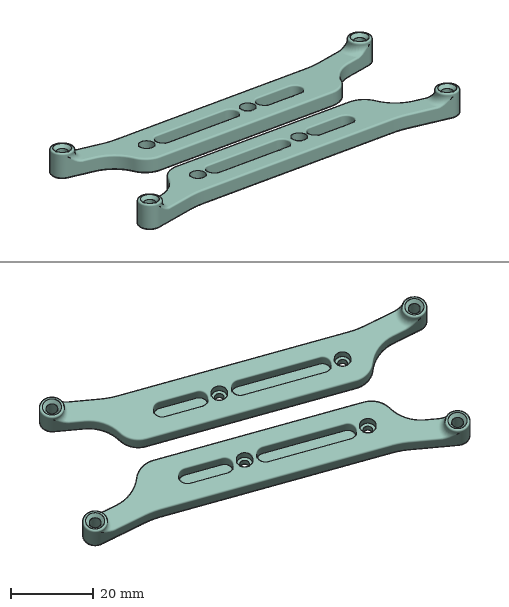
import cadquery as cq
import math

TOTAL_LENGTH = 98.5
TOTAL_WIDTH = 40.1
BOSS_HEIGHT = 7.0
PLATE_THICKNESS = 4.0
BOTTOM_CHAMFER = 0.4
TOP_FILLET = 0.5

BOSS_RADIUS = 6.1 / 2
BOSS_HOLE_DIAMETER = 2.9
BOSS_COUNTERSINK_DIAMETER = 4.6
BOSS_COUNTERSINK_DEPTH = 0.9
BOSS_ROOT_FILLET = 2.0
BOSS_X = TOTAL_WIDTH / 2 - BOSS_RADIUS
BOSS_Y = TOTAL_LENGTH / 2 - BOSS_RADIUS

INNER_X = 3.1
OUTER_X = 17.0
ARM_ANGLE = math.radians(11.9)
OUTER_BEND_RADIUS = 20.0
INNER_FLARE_RADIUS = 10.0
SHOULDER_RADIUS = 6.0
SHOULDER_Y = 26.8

FEATURE_X = 9.9
SCREW_HOLE_YS = (-25.6, 5.8)
SCREW_HOLE_DIAMETER = 2.4
SCREW_HEAD_DIAMETER = 4.0
SCREW_HEAD_DEPTH = 2.2
SLOT_WIDTH = 4.2
SLOT_DEPTH = 3.1
SLOT_FILLET = 0.4
SLOT_END_CENTRES = ((-20.5, 0.5), (10.9, 20.4))


def point_on_circle(centre, radius, angle):
    """Point of a circle at an angle in radians from +X."""
    return (centre[0] + radius * math.cos(angle), centre[1] + radius * math.sin(angle))


def mirrored(point):
    """Point reflected across the XZ plane."""
    return (point[0], -point[1])


def bracket_outline():
    """Closed outline of one bracket on the +X side, symmetric across the XZ plane."""
    boss = (BOSS_X, BOSS_Y)
    boss_outer = point_on_circle(boss, BOSS_RADIUS, -ARM_ANGLE)
    boss_inner = point_on_circle(boss, BOSS_RADIUS, math.pi - ARM_ANGLE)
    boss_tip = (BOSS_X, TOTAL_LENGTH / 2)

    corner_y = boss_outer[1] - (boss_outer[0] - OUTER_X) / math.tan(ARM_ANGLE)
    bend_start_y = corner_y - OUTER_BEND_RADIUS * math.tan(ARM_ANGLE / 2)
    bend_centre = (OUTER_X + OUTER_BEND_RADIUS, bend_start_y)
    bend_start = (OUTER_X, bend_start_y)
    bend_middle = point_on_circle(bend_centre, OUTER_BEND_RADIUS, math.pi - ARM_ANGLE / 2)
    bend_end = point_on_circle(bend_centre, OUTER_BEND_RADIUS, math.pi - ARM_ANGLE)

    shoulder = (INNER_X + SHOULDER_RADIUS, SHOULDER_Y)
    across = (-math.cos(ARM_ANGLE), math.sin(ARM_ANGLE))
    along = (-math.sin(ARM_ANGLE), -math.cos(ARM_ANGLE))
    offset = (shoulder[0] - BOSS_X, shoulder[1] - BOSS_Y)
    shoulder_across = offset[0] * across[0] + offset[1] * across[1]
    shoulder_along = offset[0] * along[0] + offset[1] * along[1]
    flare_across = BOSS_RADIUS + INNER_FLARE_RADIUS
    centre_distance = INNER_FLARE_RADIUS + SHOULDER_RADIUS
    flare_along = shoulder_along - math.sqrt(centre_distance**2 - (flare_across - shoulder_across) ** 2)
    flare = (
        BOSS_X + flare_across * across[0] + flare_along * along[0],
        BOSS_Y + flare_across * across[1] + flare_along * along[1],
    )
    meeting_angle = math.atan2(flare[1] - shoulder[1], flare[0] - shoulder[0])
    flare_end_angle = meeting_angle - math.pi
    flare_start = point_on_circle(flare, INNER_FLARE_RADIUS, -ARM_ANGLE)
    flare_middle = point_on_circle(flare, INNER_FLARE_RADIUS, (flare_end_angle - ARM_ANGLE) / 2)
    flare_end = point_on_circle(flare, INNER_FLARE_RADIUS, flare_end_angle)
    shoulder_middle = point_on_circle(shoulder, SHOULDER_RADIUS, (meeting_angle + math.pi) / 2)
    shoulder_end = (INNER_X, SHOULDER_Y)

    return (
        cq.Workplane("XY")
        .moveTo(*mirrored(bend_start))
        .lineTo(*bend_start)
        .threePointArc(bend_middle, bend_end)
        .lineTo(*boss_outer)
        .threePointArc(boss_tip, boss_inner)
        .lineTo(*flare_start)
        .threePointArc(flare_middle, flare_end)
        .threePointArc(shoulder_middle, shoulder_end)
        .lineTo(*mirrored(shoulder_end))
        .threePointArc(mirrored(shoulder_middle), mirrored(flare_end))
        .threePointArc(mirrored(flare_middle), mirrored(flare_start))
        .lineTo(*mirrored(boss_inner))
        .threePointArc(mirrored(boss_tip), mirrored(boss_outer))
        .lineTo(*mirrored(bend_end))
        .threePointArc(mirrored(bend_middle), mirrored(bend_start))
        .close()
    )


def boss_with_root(y):
    """Revolved boss whose concave root fillet flows onto the plate."""
    root_radius = BOSS_RADIUS + BOSS_ROOT_FILLET
    root_top = PLATE_THICKNESS + BOSS_ROOT_FILLET
    fillet_reach = BOSS_ROOT_FILLET * (1 - math.sqrt(0.5))
    return (
        cq.Workplane("XZ")
        .lineTo(root_radius, 0)
        .lineTo(root_radius, PLATE_THICKNESS)
        .threePointArc(
            (BOSS_RADIUS + fillet_reach, PLATE_THICKNESS + fillet_reach), (BOSS_RADIUS, root_top)
        )
        .lineTo(BOSS_RADIUS, BOSS_HEIGHT)
        .lineTo(0, BOSS_HEIGHT)
        .close()
        .revolve(360, (0, 0, 0), (0, 1, 0))
        .translate((BOSS_X, y, 0))
    )


def boss_hole(y):
    """Through hole with a conical mouth at the top of a boss."""
    return (
        cq.Workplane("XZ")
        .lineTo(BOSS_HOLE_DIAMETER / 2, 0)
        .lineTo(BOSS_HOLE_DIAMETER / 2, BOSS_HEIGHT - BOSS_COUNTERSINK_DEPTH)
        .lineTo(BOSS_COUNTERSINK_DIAMETER / 2, BOSS_HEIGHT)
        .lineTo(0, BOSS_HEIGHT)
        .close()
        .revolve(360, (0, 0, 0), (0, 1, 0))
        .translate((BOSS_X, y, 0))
    )


def cut_slot(bracket, start_y, end_y):
    """Cut a blind slot into the plate's top face and round its mouth."""
    centre_y = (start_y + end_y) / 2
    overall_length = end_y - start_y + SLOT_WIDTH
    pocket = (
        cq.Workplane("XY", origin=(FEATURE_X, centre_y, PLATE_THICKNESS))
        .slot2D(overall_length, SLOT_WIDTH, 90)
        .extrude(-SLOT_DEPTH)
    )
    mouth_region = cq.selectors.BoxSelector(
        (FEATURE_X - SLOT_WIDTH, centre_y - overall_length / 2, PLATE_THICKNESS - SLOT_FILLET),
        (FEATURE_X + SLOT_WIDTH, centre_y + overall_length / 2, PLATE_THICKNESS + SLOT_FILLET),
    )
    return bracket.cut(pocket).edges(mouth_region).fillet(SLOT_FILLET)


def bracket_body():
    """Plate and bosses with a chamfered underside and rounded upper edges."""
    tall_blank = bracket_outline().extrude(BOSS_HEIGHT)
    body = bracket_outline().extrude(PLATE_THICKNESS)
    for y in (-BOSS_Y, BOSS_Y):
        body = body.union(boss_with_root(y).intersect(tall_blank))
    body = body.faces("<Z").chamfer(BOTTOM_CHAMFER)
    body = body.faces(">Z").edges().fillet(TOP_FILLET)
    return body.edges("|Y").edges(">Z").fillet(TOP_FILLET)


def make_bracket():
    """One bracket on the +X side with its slots, boss holes and counterbored screw holes."""
    bracket = bracket_body()
    for start_y, end_y in SLOT_END_CENTRES:
        bracket = cut_slot(bracket, start_y, end_y)
    for y in (-BOSS_Y, BOSS_Y):
        bracket = bracket.cut(boss_hole(y))
    screw_points = [(FEATURE_X, y) for y in SCREW_HOLE_YS]
    screw_places = cq.Workplane("XY", origin=(0, 0, PLATE_THICKNESS)).pushPoints(screw_points)
    bracket = bracket.cut(screw_places.circle(SCREW_HOLE_DIAMETER / 2).extrude(-PLATE_THICKNESS))
    return bracket.cut(screw_places.circle(SCREW_HEAD_DIAMETER / 2).extrude(-SCREW_HEAD_DEPTH))


right_bracket = make_bracket()
left_bracket = right_bracket.mirror("YZ")

result = cq.Compound.makeCompound([left_bracket.val(), right_bracket.val()])